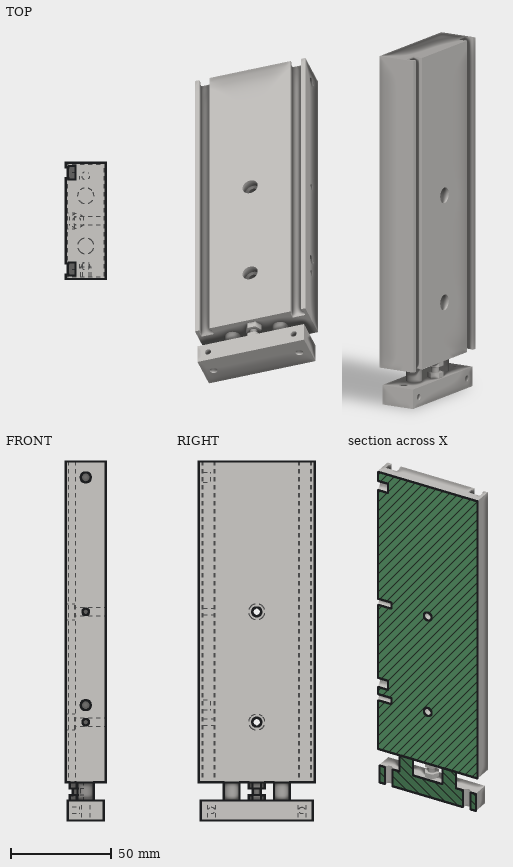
import cadquery as cq
import math

THROUGH = 1.0

HOUSING_DEPTH = 20.0
HOUSING_WIDTH = 58.0
HOUSING_LENGTH = 160.0

SLOT_EDGE_DISTANCE = 5.0
SLOT_MOUTH_WIDTH = 5.4
SLOT_LIP = 1.5
SLOT_INNER_WIDTH = 6.6
SLOT_DEPTH = 5.0

MOUNT_HEIGHTS = (30.0, 85.0)
MOUNT_HOLE_DIAMETER = 4.3
COUNTERBORE_DIAMETER = 8.0
COUNTERBORE_DEPTH = 4.4
THREAD_DIAMETER = 3.24
THREAD_DEPTH = 8.0

PORT_HEIGHTS = (38.5, 152.0)
PORT_DIAMETER = 5.0
PORT_DEPTH = 6.0

ROD_DIAMETER = 8.0
ROD_SPACING = 25.0
STROKE_GAP = 9.0
PLATE_DEPTH = 18.0
PLATE_WIDTH = 56.0
PLATE_THICKNESS = 10.0
PLATE_HOLE_SPACING = 45.0
PLATE_BORE_DIAMETER = 4.0
SIDE_HOLE_DEPTH = 6.0

BOLT_X = -4.5
BOLT_DIAMETER = 4.0
HEX_ACROSS_FLATS = 7.0
HEX_ACROSS_CORNERS = HEX_ACROSS_FLATS / math.cos(math.pi / 6)
NUT_HEIGHT = 2.7
HEAD_HEIGHT = 3.1

housing_left = -HOUSING_DEPTH / 2
housing_front = -HOUSING_WIDTH / 2
plate_left = -PLATE_DEPTH / 2
plate_top = -STROKE_GAP
plate_middle = plate_top - PLATE_THICKNESS / 2


def cylinder(start, direction, diameter, length):
    """Solid cylinder from a start point along a direction."""
    return cq.Workplane(obj=cq.Solid.makeCylinder(
        diameter / 2, length, cq.Vector(*start), cq.Vector(*direction)))


def slot_cutter(y):
    """T-slot over the full housing length, open on the -X face."""
    mouth = cq.Workplane().box(
        SLOT_DEPTH, SLOT_MOUTH_WIDTH, HOUSING_LENGTH, centered=(False, True, False))
    inner = cq.Workplane().box(
        SLOT_DEPTH - SLOT_LIP, SLOT_INNER_WIDTH, HOUSING_LENGTH, centered=(False, True, False))
    cutter = mouth.union(inner.translate((SLOT_LIP, 0, 0)))
    return cutter.translate((housing_left, y, 0))


def make_housing():
    body = cq.Workplane().box(
        HOUSING_DEPTH, HOUSING_WIDTH, HOUSING_LENGTH, centered=(True, True, False))
    slot_y = HOUSING_WIDTH / 2 - SLOT_EDGE_DISTANCE
    for y in (-slot_y, slot_y):
        body = body.cut(slot_cutter(y))
    for z in MOUNT_HEIGHTS:
        face_center = (housing_left, 0, z)
        body = body.cut(cylinder(face_center, (1, 0, 0), MOUNT_HOLE_DIAMETER, HOUSING_DEPTH + THROUGH))
        body = body.cut(cylinder(face_center, (1, 0, 0), COUNTERBORE_DIAMETER, COUNTERBORE_DEPTH))
        body = body.cut(cylinder((0, housing_front, z), (0, 1, 0), THREAD_DIAMETER, THREAD_DEPTH))
    for z in PORT_HEIGHTS:
        body = body.cut(cylinder((0, housing_front, z), (0, 1, 0), PORT_DIAMETER, PORT_DEPTH))
    return body


def make_slide():
    """End plate joined to the guide rods, which reach up to the housing."""
    plate = cq.Workplane().box(PLATE_DEPTH, PLATE_WIDTH, PLATE_THICKNESS)
    body = plate.translate((0, 0, plate_middle))
    for side in (-1, 1):
        rod_y = side * ROD_SPACING / 2
        hole_y = side * PLATE_HOLE_SPACING / 2
        body = body.union(cylinder((0, rod_y, plate_top), (0, 0, 1), ROD_DIAMETER, STROKE_GAP))
        body = body.cut(cylinder(
            (0, hole_y, plate_top), (0, 0, -1), PLATE_BORE_DIAMETER, PLATE_THICKNESS + THROUGH))
        body = body.cut(cylinder(
            (plate_left, hole_y, plate_middle), (1, 0, 0), THREAD_DIAMETER, SIDE_HOLE_DEPTH))
    return body


def make_hexagon(z, height):
    """Hexagon with two corners along Y, rising from height z."""
    prism = cq.Workplane().polygon(6, HEX_ACROSS_CORNERS).extrude(height)
    return prism.rotate((0, 0, 0), (0, 0, 1), 90).translate((BOLT_X, 0, z))


def make_stop_bolt():
    """Bolt between plate and housing: lock nut below, hexagon head above."""
    shank = cylinder((BOLT_X, 0, plate_top), (0, 0, 1), BOLT_DIAMETER, STROKE_GAP)
    lock_nut = make_hexagon(plate_top, NUT_HEIGHT)
    head = make_hexagon(-HEAD_HEIGHT, HEAD_HEIGHT)
    return shank.union(lock_nut).union(head)


housing = make_housing()
slide = make_slide()
stop_bolt = make_stop_bolt()

result = cq.Compound.makeCompound([housing.val(), slide.val(), stop_bolt.val()])